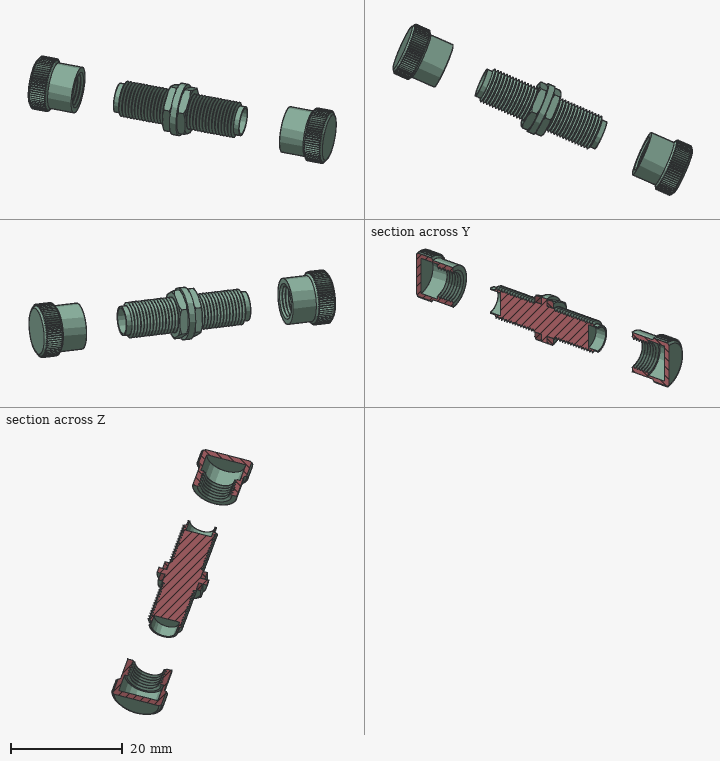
import cadquery as cq
import math


TOTAL_LENGTH = 55.15
LEFT_CAP_END = -27.25
RIGHT_CAP_END = LEFT_CAP_END + TOTAL_LENGTH

FIRST_TOOTH_X = 10.5
LAST_TOOTH_X = 2.2
ADAPTER_TEETH = 15
THREAD_PITCH = (FIRST_TOOTH_X - LAST_TOOTH_X) / (ADAPTER_TEETH - 1)
THREAD_MAJOR_D = 6.45
THREAD_MINOR_D = 5.4

ADAPTER_LENGTH = 23.5
TIP_D = 5.3
BORE_D = 4.7
BORE_DEPTH = 2.1
FLANGE_D = 9.4
FLANGE_WIDTH = 1.2

NUT_WIDTH = 1.5
NUT_ACROSS_FLATS = 8.0
NUT_FACE_D = 8.3
NUT_CHAMFER_ANGLE = 30.0

CAP_LENGTH = 8.05
CAP_BODY_D = 8.3
KNURL_D = 9.65
KNURL_WIDTH = 3.65
KNURL_CHAMFER = 0.5
KNURL_COUNT = 68
KNURL_DEPTH = 0.3
CAP_TEETH = 6
CAP_RELIEF_D = 7.2
CAP_BORE_DEPTH = 6.95


def revolve_about_x(outline):
    """Turn a list of (x, radius) points about the X axis."""
    return cq.Workplane("XY").polyline(outline).close().revolve(360, (0, 0, 0), (1, 0, 0))


def make_adapter():
    """Threaded barrel with a middle flange and a blind bore in each end."""
    end_x = ADAPTER_LENGTH / 2
    major_r = THREAD_MAJOR_D / 2
    minor_r = THREAD_MINOR_D / 2
    thread_start = FIRST_TOOTH_X + THREAD_PITCH / 2

    half = [
        (end_x - BORE_DEPTH, 0),
        (end_x - BORE_DEPTH, BORE_D / 2),
        (end_x, BORE_D / 2),
        (end_x, TIP_D / 2),
        (thread_start, TIP_D / 2),
        (thread_start, minor_r),
    ]
    for tooth in range(ADAPTER_TEETH):
        tooth_x = FIRST_TOOTH_X - tooth * THREAD_PITCH
        half.append((tooth_x, major_r))
        if tooth < ADAPTER_TEETH - 1:
            half.append((tooth_x - THREAD_PITCH / 2, minor_r))
    half += [
        (FLANGE_WIDTH / 2, major_r),
        (FLANGE_WIDTH / 2, FLANGE_D / 2),
    ]
    mirrored_half = [(-x, radius) for x, radius in reversed(half)]
    return revolve_about_x(half + mirrored_half)


def make_nut(side):
    """Hexagon nut, chamfered on both faces, against the flange on the given side (-1 or 1)."""
    corner_d = NUT_ACROSS_FLATS / math.cos(math.pi / 6)
    hexagon = (
        cq.Workplane("YZ")
        .transformed(rotate=(0, 0, 90))
        .polygon(6, corner_d)
        .circle(THREAD_MAJOR_D / 2)
        .extrude(NUT_WIDTH)
    )
    corner_r = corner_d / 2
    face_r = NUT_FACE_D / 2
    chamfer = (corner_r - face_r) * math.tan(math.radians(NUT_CHAMFER_ANGLE))
    envelope = revolve_about_x(
        [
            (0, 0),
            (0, face_r),
            (chamfer, corner_r),
            (NUT_WIDTH - chamfer, corner_r),
            (NUT_WIDTH, face_r),
            (NUT_WIDTH, 0),
        ]
    )
    nut_start = FLANGE_WIDTH / 2 if side > 0 else -FLANGE_WIDTH / 2 - NUT_WIDTH
    return hexagon.intersect(envelope).translate((nut_start, 0, 0))


def make_cap_blank():
    """Cap without knurling, closed end at X = 0 and mouth at X = CAP_LENGTH."""
    body_r = CAP_BODY_D / 2
    knurl_r = KNURL_D / 2
    major_r = THREAD_MAJOR_D / 2
    minor_r = THREAD_MINOR_D / 2
    floor_x = CAP_LENGTH - CAP_BORE_DEPTH
    outline = [
        (0, 0),
        (0, body_r),
        (KNURL_CHAMFER, knurl_r),
        (KNURL_WIDTH - KNURL_CHAMFER, knurl_r),
        (KNURL_WIDTH, body_r),
        (CAP_LENGTH, body_r),
        (CAP_LENGTH, major_r),
    ]
    for tooth in range(CAP_TEETH):
        tooth_x = CAP_LENGTH - (tooth + 0.5) * THREAD_PITCH
        outline.append((tooth_x, minor_r))
        outline.append((tooth_x - THREAD_PITCH / 2, major_r))
    relief_x = CAP_LENGTH - CAP_TEETH * THREAD_PITCH
    outline += [
        (relief_x, CAP_RELIEF_D / 2),
        (floor_x, CAP_RELIEF_D / 2),
        (floor_x, 0),
    ]
    return revolve_about_x(outline)


def make_knurl_envelope():
    """Toothed bar along X that gives the cap its straight knurling."""
    tip_r = KNURL_D / 2
    root_r = tip_r - KNURL_DEPTH
    step = 2 * math.pi / KNURL_COUNT
    points = []
    for tooth in range(KNURL_COUNT):
        root_angle = tooth * step
        tip_angle = root_angle + step / 2
        points.append((root_r * math.cos(root_angle), root_r * math.sin(root_angle)))
        points.append((tip_r * math.cos(tip_angle), tip_r * math.sin(tip_angle)))
    return cq.Workplane("YZ").polyline(points).close().extrude(CAP_LENGTH)


def make_cap(side):
    """Knurled cap with its mouth facing the adapter, on the given side (-1 or 1)."""
    cap = make_cap_blank().intersect(make_knurl_envelope())
    if side < 0:
        return cap.translate((LEFT_CAP_END, 0, 0))
    return cap.mirror("YZ").translate((RIGHT_CAP_END, 0, 0))


adapter = make_adapter()
nuts = [make_nut(side) for side in (-1, 1)]
caps = [make_cap(side) for side in (-1, 1)]

result = cq.Compound.makeCompound(
    [adapter.val(), *[nut.val() for nut in nuts], *[cap.val() for cap in caps]]
)